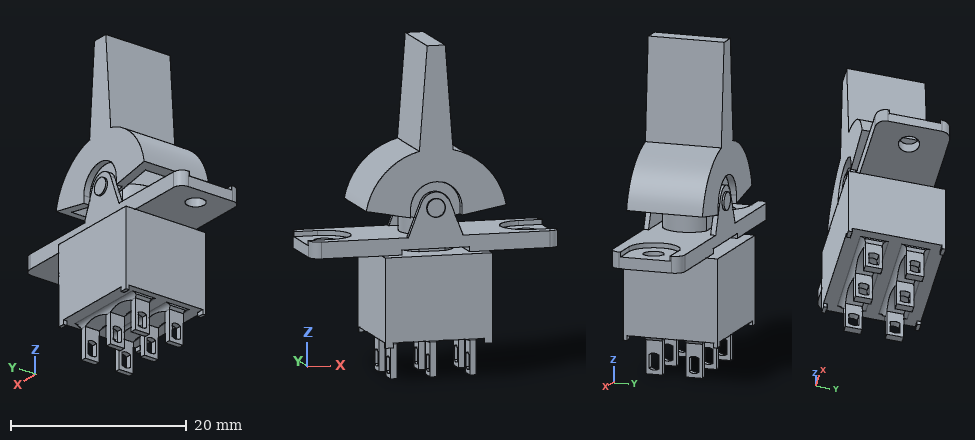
import cadquery as cq
import math


body_length = 12.65
body_width = 11.45
body_height = 9.85
foot_height = 0.58
foot_width = 0.45
foot_gap = 10.78

terminal_pitch = 4.7
terminal_row_offset = 2.42
terminal_thickness = 0.77
terminal_width = 2.0
terminal_tip_z = -14.45
eyelet_width = 1.15
eyelet_height = 1.95
eyelet_end_rise = 0.2
eyelet_z = -12.95

seal_width = 3.3
seal_height = 0.58
seal_valley_depth = 0.25
seal_sag = 0.1

plate_length = 29.35
plate_width = 8.75
plate_thickness = 1.95
plate_corner_radius = 1.2
relief_length = 8.0
relief_height = 0.58
hole_diameter = 2.4
hole_offset = 11.9
pocket_radius = 3.0
pocket_depth = 0.58

collar_diameter = 6.43
collar_flat_width = 5.62
bushing_diameter = 6.15
bushing_flat_width = 5.27
bushing_top_z = 5.4

pivot_z = 5.27
pivot_diameter = 2.15
ear_thickness = 0.6
ear_tip_radius = 1.8
ear_base_half = 3.25

lever_width = 9.2
rocker_radius = 8.43
rocker_center_z = 3.75
rocker_slope = 10.3
handle_top_z = 24.05
handle_top_half = 1.08
handle_base_half = 2.0
ear_clearance_radius = 3.05
cavity_radius = 7.05
cavity_front_y = -2.75
cavity_back_y = 3.4

ear_outer_y = plate_width / 2
ear_inner_y = ear_outer_y - ear_thickness


def side_plane(y):
    """XZ sketch plane at the given Y; positive extrusion runs toward -Y."""
    return cq.Workplane("XZ", origin=(0, y, 0))


def make_body():
    full_height = body_height + foot_height
    block = cq.Workplane("XY").rect(body_length, body_width).extrude(-full_height)
    underside = cq.Workplane("XY", origin=(0, 0, -full_height))
    long_channel = underside.rect(foot_gap, body_width).extrude(foot_height)
    cross_channel = underside.rect(body_length, body_width - 2 * foot_width).extrude(foot_height)
    return block.cut(long_channel).cut(cross_channel)


def make_seal(row_y):
    """Scalloped ridge: arched between the terminals along X, concave flanks along Y."""
    base_z = -body_height
    low_z = base_z - seal_height
    half_blade = terminal_thickness / 2
    end_x = foot_gap / 2
    end_z = base_z - seal_valley_depth

    outline = side_plane(row_y + seal_width / 2).moveTo(-end_x, base_z).lineTo(-end_x, end_z)
    outline = outline.lineTo(-terminal_pitch - half_blade, low_z)
    for start_x in (-terminal_pitch, 0):
        outline = outline.lineTo(start_x + half_blade, low_z)
        outline = outline.threePointArc(
            (start_x + terminal_pitch / 2, end_z),
            (start_x + terminal_pitch - half_blade, low_z),
        )
    outline = outline.lineTo(terminal_pitch + half_blade, low_z)
    ridge = outline.lineTo(end_x, end_z).lineTo(end_x, base_z).close().extrude(seal_width)

    top_half = seal_width / 2
    low_half = terminal_width / 2
    flank_y = (top_half + low_half) / 2 - seal_sag
    flank_z = base_z - seal_height / 2 + seal_sag
    flanks = (
        cq.Workplane("YZ", origin=(-end_x, row_y, 0))
        .moveTo(-top_half, base_z)
        .threePointArc((-flank_y, flank_z), (-low_half, low_z))
        .lineTo(low_half, low_z)
        .threePointArc((flank_y, flank_z), (top_half, base_z))
        .close()
        .extrude(foot_gap)
    )
    return ridge.intersect(flanks)


def make_terminal(x, y):
    blade_plane = cq.Workplane("YZ", origin=(x - terminal_thickness / 2, y, 0))
    blade_length = -body_height - terminal_tip_z
    blade = (
        blade_plane.center(0, terminal_tip_z + blade_length / 2)
        .rect(terminal_width, blade_length)
        .extrude(terminal_thickness)
    )
    half_width = eyelet_width / 2
    top_z = eyelet_z + eyelet_height / 2
    bottom_z = eyelet_z - eyelet_height / 2
    eyelet = (
        blade_plane.moveTo(-half_width, bottom_z + eyelet_end_rise)
        .threePointArc((0, bottom_z), (half_width, bottom_z + eyelet_end_rise))
        .lineTo(half_width, top_z - eyelet_end_rise)
        .threePointArc((0, top_z), (-half_width, top_z - eyelet_end_rise))
        .close()
        .extrude(terminal_thickness)
    )
    return blade.cut(eyelet)


def make_plate():
    plate = cq.Workplane("XY").rect(plate_length, plate_width).extrude(plate_thickness)
    plate = plate.edges("|Z").fillet(plate_corner_radius)
    relief = cq.Workplane("XY").rect(relief_length, plate_width).extrude(relief_height)
    plate = plate.cut(relief)

    pocket_plane = cq.Workplane("XY", origin=(0, 0, plate_thickness))
    open_length = plate_length / 2 - hole_offset
    for side in (-1, 1):
        hole_x = side * hole_offset
        pocket_end = pocket_plane.center(hole_x, 0).circle(pocket_radius).extrude(-pocket_depth)
        pocket_mouth = (
            pocket_plane.center(hole_x + side * open_length / 2, 0)
            .rect(open_length, 2 * pocket_radius)
            .extrude(-pocket_depth)
        )
        hole = cq.Workplane("XY").center(hole_x, 0).circle(hole_diameter / 2).extrude(plate_thickness)
        plate = plate.cut(pocket_end).cut(pocket_mouth).cut(hole)
    return plate


def make_flatted_cylinder(diameter, flat_width, height):
    cylinder = cq.Workplane("XY").circle(diameter / 2).extrude(height)
    flats = cq.Workplane("XY").rect(diameter, flat_width).extrude(height)
    return cylinder.intersect(flats)


def make_bushing():
    barrel = make_flatted_cylinder(bushing_diameter, bushing_flat_width, bushing_top_z)
    collar = make_flatted_cylinder(collar_diameter, collar_flat_width, plate_thickness)
    return barrel.union(collar)


def make_ear():
    """Ear on the +Y edge of the plate; its sides run tangent into the rounded tip."""
    drop = pivot_z - plate_thickness
    reach = math.hypot(ear_base_half, drop)
    tangent_angle = math.acos(ear_tip_radius / reach) - math.atan2(drop, ear_base_half)
    tangent_x = ear_tip_radius * math.cos(tangent_angle)
    tangent_z = pivot_z + ear_tip_radius * math.sin(tangent_angle)
    return (
        side_plane(ear_outer_y)
        .moveTo(-ear_base_half, plate_thickness)
        .lineTo(-tangent_x, tangent_z)
        .threePointArc((0, pivot_z + ear_tip_radius), (tangent_x, tangent_z))
        .lineTo(ear_base_half, plate_thickness)
        .lineTo(ear_base_half, relief_height)
        .lineTo(-ear_base_half, relief_height)
        .close()
        .extrude(ear_thickness)
    )


def make_sector(radius, front_y, back_y):
    """Circular sector above the sloped underside, between two Y positions."""
    slope = math.radians(rocker_slope)
    edge_x = radius * math.cos(slope)
    edge_z = rocker_center_z + radius * math.sin(slope)
    return (
        side_plane(back_y)
        .moveTo(0, rocker_center_z)
        .lineTo(-edge_x, edge_z)
        .threePointArc((0, rocker_center_z + radius), (edge_x, edge_z))
        .close()
        .extrude(back_y - front_y)
    )


def make_lever():
    half_width = lever_width / 2
    rocker = make_sector(rocker_radius, -half_width, half_width)
    handle_base_z = rocker_center_z + math.sqrt(rocker_radius**2 - handle_base_half**2)
    handle = (
        side_plane(half_width)
        .moveTo(-handle_base_half, handle_base_z)
        .lineTo(-handle_top_half, handle_top_z)
        .lineTo(handle_top_half, handle_top_z)
        .lineTo(handle_base_half, handle_base_z)
        .close()
        .extrude(lever_width)
    )
    lever = rocker.union(handle).cut(make_sector(cavity_radius, cavity_front_y, cavity_back_y))

    clearance_depth = half_width - ear_inner_y
    clearance = (
        side_plane(half_width)
        .moveTo(-ear_clearance_radius, 0)
        .lineTo(-ear_clearance_radius, pivot_z)
        .threePointArc((0, pivot_z + ear_clearance_radius), (ear_clearance_radius, pivot_z))
        .lineTo(ear_clearance_radius, 0)
        .close()
        .extrude(clearance_depth)
    )
    lever = lever.cut(clearance).cut(clearance.mirror("XZ"))

    pivot_pin = side_plane(half_width).center(0, pivot_z).circle(pivot_diameter / 2).extrude(clearance_depth)
    return lever.union(pivot_pin).union(pivot_pin.mirror("XZ"))


ear = make_ear()
result = make_body().union(make_plate()).union(make_bushing())
result = result.union(ear).union(ear.mirror("XZ")).union(make_lever())
for row_y in (-terminal_row_offset, terminal_row_offset):
    result = result.union(make_seal(row_y))
    for terminal_x in (-terminal_pitch, 0, terminal_pitch):
        result = result.union(make_terminal(terminal_x, row_y))